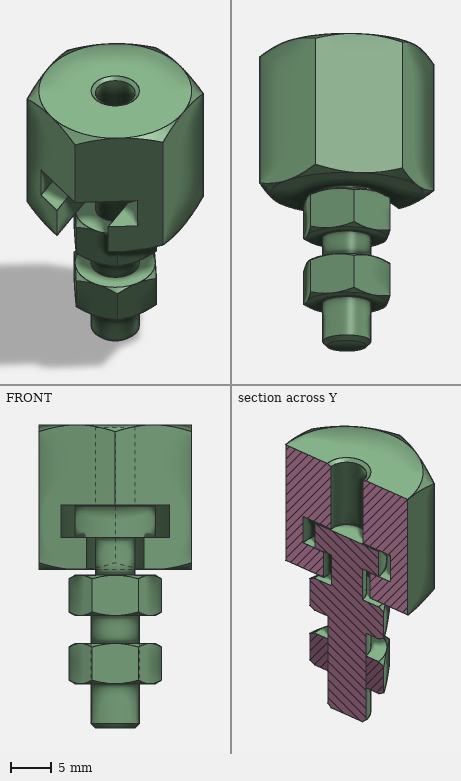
import cadquery as cq
import math

TOTAL_HEIGHT = 37.7

HOUSING_FLATS = 19.0
HOUSING_HEIGHT = 18.0
HOUSING_TURN = 90.0
HOUSING_BOTTOM = TOTAL_HEIGHT - HOUSING_HEIGHT

NARROW_SLOT_WIDTH = 7.15
WIDE_SLOT_WIDTH = 13.5
LIP_THICKNESS = 4.0
WIDE_SLOT_HEIGHT = 4.0
LIP_TOP = HOUSING_BOTTOM + LIP_THICKNESS
WIDE_SLOT_TOP = LIP_TOP + WIDE_SLOT_HEIGHT

THREAD_DIAMETER = 6.0
CORE_DIAMETER = 4.9
THREAD_DEPTH = (THREAD_DIAMETER - CORE_DIAMETER) / 2

COUNTERSINK_ANGLE = 30.0
COUNTERSINK_DEPTH = THREAD_DEPTH * math.tan(math.radians(COUNTERSINK_ANGLE))

HEAD_DIAMETER = 10.0
HEAD_CLEARANCE = 0.1
HEAD_HEIGHT = WIDE_SLOT_HEIGHT - HEAD_CLEARANCE
COLLAR_BOTTOM = 14.0

SMALL_HEX_FLATS = 10.0
SMALL_HEX_HEIGHT = 5.0
NUT_BOTTOM = 5.5

HEX_HALF_SECTOR = 30.0

CORNER_BEVEL_ANGLE = 30.0


def cylinder(diameter, bottom, height):
    """Upright cylinder on the Z axis."""
    return cq.Workplane("XY").workplane(offset=bottom).circle(diameter / 2).extrude(height)


def beveled_hexagon(flats, bottom, height, turn=0):
    """Hexagonal prism whose corners are beveled by a cone at both ends.

    With no turn two corners point along X; turn is a rotation about Z in degrees.
    The bevel cones start at the inscribed circle.
    """
    inner_radius = flats / 2
    corner_radius = inner_radius / math.cos(math.radians(HEX_HALF_SECTOR))
    bevel_drop = (corner_radius - inner_radius) * math.tan(math.radians(CORNER_BEVEL_ANGLE))
    top = bottom + height
    prism = (
        cq.Workplane("XY")
        .workplane(offset=bottom)
        .polygon(6, 2 * corner_radius)
        .extrude(height)
        .rotate((0, 0, 0), (0, 0, 1), turn)
    )
    bevel_envelope = (
        cq.Workplane("XZ")
        .moveTo(0, bottom)
        .lineTo(inner_radius, bottom)
        .lineTo(corner_radius, bottom + bevel_drop)
        .lineTo(corner_radius, top - bevel_drop)
        .lineTo(inner_radius, top)
        .lineTo(0, top)
        .close()
        .revolve(360, (0, 0, 0), (0, 1, 0))
    )
    return prism.intersect(bevel_envelope)


def round_ended_slot(width, bottom, height):
    """Slot cutter with a half-round end about the Z axis, running out of the housing at -Y."""
    half_width = width / 2
    mouth = -HOUSING_FLATS
    return (
        cq.Workplane("XY")
        .workplane(offset=bottom)
        .moveTo(-half_width, mouth)
        .lineTo(-half_width, 0)
        .threePointArc((0, half_width), (half_width, 0))
        .lineTo(half_width, mouth)
        .close()
        .extrude(height)
    )


def bore_countersink():
    """Conical cutter that widens the bore's mouth from the core to the thread diameter."""
    return (
        cq.Workplane("XZ")
        .moveTo(0, TOTAL_HEIGHT - COUNTERSINK_DEPTH)
        .lineTo(CORE_DIAMETER / 2, TOTAL_HEIGHT - COUNTERSINK_DEPTH)
        .lineTo(THREAD_DIAMETER / 2, TOTAL_HEIGHT)
        .lineTo(0, TOTAL_HEIGHT)
        .close()
        .revolve(360, (0, 0, 0), (0, 1, 0))
    )


def make_housing():
    """Hexagonal housing with a T-slot below and a countersunk threaded bore above it."""
    body = beveled_hexagon(HOUSING_FLATS, HOUSING_BOTTOM, HOUSING_HEIGHT, HOUSING_TURN)
    narrow_slot = round_ended_slot(NARROW_SLOT_WIDTH, HOUSING_BOTTOM, LIP_THICKNESS)
    wide_slot = round_ended_slot(WIDE_SLOT_WIDTH, LIP_TOP, WIDE_SLOT_HEIGHT)
    bore = cylinder(CORE_DIAMETER, WIDE_SLOT_TOP, TOTAL_HEIGHT - WIDE_SLOT_TOP)
    return body.cut(narrow_slot).cut(wide_slot).cut(bore).cut(bore_countersink())


def make_pin():
    """Pin whose head rests on the slot lips, with the collar and shank below the housing."""
    collar_top = COLLAR_BOTTOM + SMALL_HEX_HEIGHT
    shank = cylinder(THREAD_DIAMETER, 0, COLLAR_BOTTOM).faces("<Z").chamfer(THREAD_DEPTH)
    collar = beveled_hexagon(SMALL_HEX_FLATS, COLLAR_BOTTOM, SMALL_HEX_HEIGHT)
    neck = cylinder(CORE_DIAMETER, collar_top, LIP_TOP - collar_top)
    head = cylinder(HEAD_DIAMETER, LIP_TOP, HEAD_HEIGHT)
    return shank.union(collar).union(neck).union(head)


def make_nut():
    """Hexagonal nut on the pin's shank."""
    body = beveled_hexagon(SMALL_HEX_FLATS, NUT_BOTTOM, SMALL_HEX_HEIGHT)
    return body.cut(cylinder(THREAD_DIAMETER, NUT_BOTTOM, SMALL_HEX_HEIGHT))


housing = make_housing()
pin = make_pin()
nut = make_nut()

result = cq.Compound.makeCompound([housing.val(), pin.val(), nut.val()])